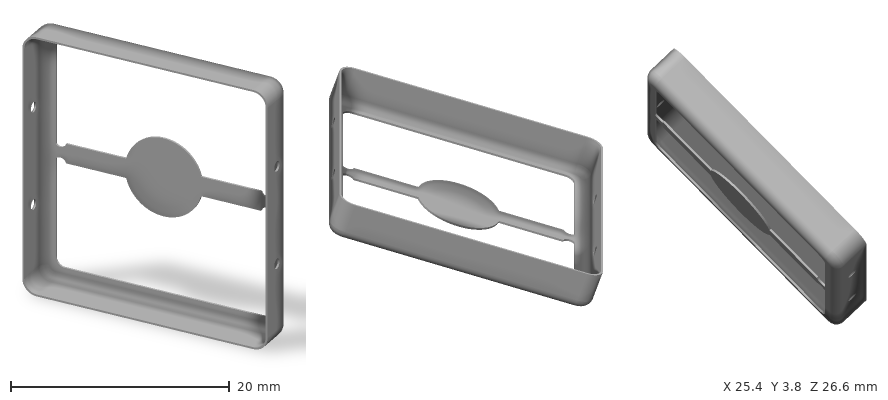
import cadquery as cq

width = 25.4
depth = 3.8
height = 26.6
sheet = 0.2
corner_radius = 1.5
floor_edge_radius = 0.9

window_margin = 1.55
window_radius = 0.9
window_width = width - 2 * window_margin
window_height = height - 2 * window_margin

disk_diameter = 8.0
bar_height = 2.0
neck_height = 1.06
notch_radius = 0.6
notch_x = 10.7

hole_diameter = 1.0
hole_spacing = 10.0
hole_from_back = 2.0

back_y = depth / 2
floor_y = back_y - sheet


def plane_at(y):
    """XZ plane at the given Y, extruding towards +Y with Z up."""
    return cq.Workplane(cq.Plane(origin=(0, y, 0), xDir=(-1, 0, 0), normal=(0, 1, 0)))


def rounded_block(inset):
    """Tray envelope, shrunk by inset on the walls and floor but not at the open side."""
    return (
        plane_at(-back_y)
        .rect(width - 2 * inset, height - 2 * inset)
        .extrude(depth - inset)
        .edges("|Y")
        .fillet(corner_radius - inset)
        .faces(">Y")
        .edges()
        .fillet(floor_edge_radius - inset)
    )


def window():
    return (
        plane_at(floor_y)
        .rect(window_width, window_height)
        .extrude(sheet)
        .edges("|Y")
        .fillet(window_radius)
    )


def disk_and_bar():
    notch_z = neck_height / 2 + notch_radius
    notch_centers = [(x, z) for x in (-notch_x, notch_x) for z in (-notch_z, notch_z)]
    bar = plane_at(floor_y).rect(window_width, bar_height).extrude(sheet)
    notches = plane_at(floor_y).pushPoints(notch_centers).circle(notch_radius).extrude(sheet)
    disk = plane_at(floor_y).circle(disk_diameter / 2).extrude(sheet)
    return bar.cut(notches).union(disk)


def pin_holes():
    hole_y = back_y - hole_from_back
    return (
        cq.Workplane("YZ")
        .pushPoints([(hole_y, -hole_spacing / 2), (hole_y, hole_spacing / 2)])
        .circle(hole_diameter / 2)
        .extrude(width / 2, both=True)
    )


tray = rounded_block(0).cut(rounded_block(sheet))
opening = window().cut(disk_and_bar())
result = tray.cut(opening).cut(pin_holes())